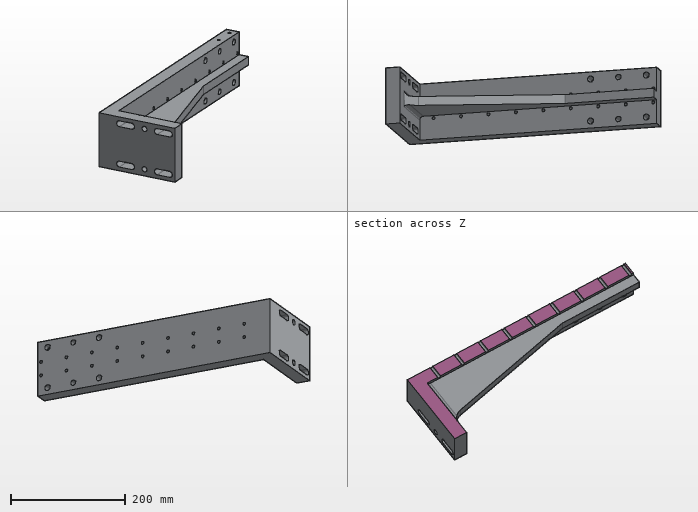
import cadquery as cq
import math

foot_length = 152.2
arm_length = 457.0
height = 101.5
plate_thickness = 25.5

rib_thickness = 16.0
rib_tip_x = 44.5
rib_slope_start_y = 296.0
rib_root_x = 107.0
rib_corner_radius = 25.0
rib_foot_fillet = 6.5

mount_diameter = 10.5
pin_diameter = 9.5
mount_row_offset = 38.0
mount_end_distance = 19.0
mount_pitch = 50.7
mount_count = 3

small_diameter = 5.0
small_row_spacing = 25.0
small_end_distance = 6.5
small_span = 400.0
small_count = 9

slot_length = 35.5
slot_width = 11.0
pin_x = 91.5
slot_offset = 38.0
foot_row_offset = 38.0

edge_diameter = 5.0
edge_end_distance = 12.5
edge_pitch = 38.5
edge_count = 2
edge_depth = 20.0
drill_point_angle = 118


def make_plates():
    """Arm along Y and foot along X, joined as an L."""
    return (
        cq.Workplane("XY")
        .polyline([
            (0, 0),
            (foot_length, 0),
            (foot_length, plate_thickness),
            (plate_thickness, plate_thickness),
            (plate_thickness, arm_length),
            (0, arm_length),
        ])
        .close()
        .extrude(height / 2, both=True)
    )


def make_rib():
    """Tapered rib running the full arm, overlapping both plates."""
    return (
        cq.Workplane("XY")
        .polyline([
            (0, 0),
            (rib_root_x, 0),
            (rib_root_x, plate_thickness),
            (rib_tip_x, rib_slope_start_y),
            (rib_tip_x, arm_length),
            (0, arm_length),
        ])
        .close()
        .extrude(rib_thickness / 2, both=True)
    )


def round_rib_root(body):
    """Round the sloped rib edge into the foot, then the rib faces into the foot."""
    slope_corner = cq.selectors.NearestToPointSelector((rib_root_x, plate_thickness, 0))
    body = body.edges("|Z").edges(slope_corner).fillet(rib_corner_radius)
    middle_x = (plate_thickness + rib_root_x) / 2
    for side in (-1, 1):
        face_corner = cq.selectors.NearestToPointSelector(
            (middle_x, plate_thickness, side * rib_thickness / 2)
        )
        body = body.edges("|X").edges(face_corner).fillet(rib_foot_fillet)
    return body


def arm_holes(diameter, centres):
    """Cutters through the arm at (y, z) centres."""
    return cq.Workplane("YZ").pushPoints(centres).circle(diameter / 2).extrude(plate_thickness)


def foot_plane(centres):
    """Sketch plane on the outer foot face, with points at (x, z) centres."""
    return cq.Workplane("XZ").pushPoints(centres)


body = round_rib_root(make_plates().union(make_rib()))

for i in range(mount_count):
    mount_y = arm_length - mount_end_distance - i * mount_pitch
    is_middle = i == mount_count // 2
    diameter = pin_diameter if is_middle else mount_diameter
    mount_centres = [(mount_y, side * mount_row_offset) for side in (-1, 1)]
    body = body.cut(arm_holes(diameter, mount_centres))

small_pitch = small_span / (small_count - 1)
small_centres = [
    (arm_length - small_end_distance - i * small_pitch, side * small_row_spacing / 2)
    for i in range(small_count)
    for side in (-1, 1)
]
body = body.cut(arm_holes(small_diameter, small_centres))

slot_centres = [
    (pin_x + x_side * slot_offset, z_side * foot_row_offset)
    for x_side in (-1, 1)
    for z_side in (-1, 1)
]
pin_centres = [(pin_x, side * foot_row_offset) for side in (-1, 1)]
body = body.cut(foot_plane(slot_centres).slot2D(slot_length, slot_width).extrude(-plate_thickness))
body = body.cut(foot_plane(pin_centres).circle(pin_diameter / 2).extrude(-plate_thickness))

edge_centres = [
    (plate_thickness / 2, arm_length - edge_end_distance - i * edge_pitch) for i in range(edge_count)
]
edge_radius = edge_diameter / 2
drill_point_length = edge_radius / math.tan(math.radians(drill_point_angle / 2))
for x, y in edge_centres:
    drill = (
        cq.Workplane("XZ", origin=(x, y, height / 2))
        .polyline([
            (0, 0),
            (edge_radius, 0),
            (edge_radius, -edge_depth),
            (0, -edge_depth - drill_point_length),
        ])
        .close()
        .revolve(360, (0, 0), (0, 1))
    )
    body = body.cut(drill)

result = body